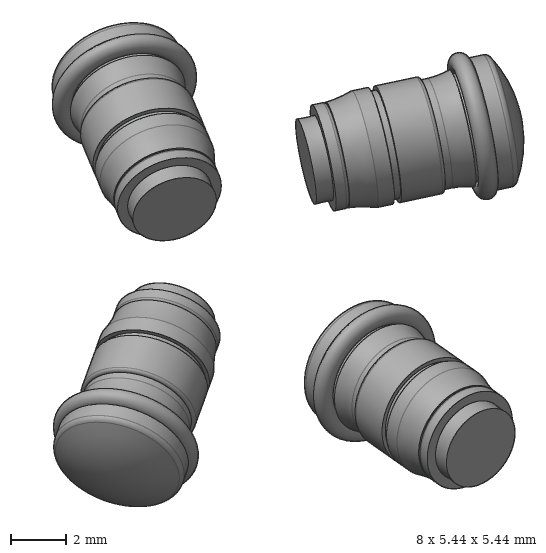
import cadquery as cq

dome_depth = 0.66
head_round_end = 0.87
head_end = 1.42
neck_start = 2.19
neck_waist = 3.04
barrel_start = 3.3
groove_start = 4.97
groove_end = 5.23
taper_start = 5.84
cap_start = 6.85
flange_end = 7.36
overall_length = 8.0

dome_rim_radius = 2.34
head_radius = 2.46
ring_outer_radius = 2.72
seat_radius = 2.01
neck_flare_radius = 2.18
neck_radius = 2.04
barrel_radius = 2.17
groove_radius = 2.02
taper_end_radius = 1.96
flange_radius = 1.97
spigot_radius = 1.58

barrel_round = barrel_radius - neck_radius
flange_round = 0.12
flare_sag = 0.03
taper_sag = 0.03
spigot_sag = 0.02

ring_section_radius = (ring_outer_radius - seat_radius) / 2
ring_center_x = head_end + ring_section_radius
ring_center_radius = seat_radius + ring_section_radius

QUARTER_ROUND = 0.5 ** 0.5


def revolve_profile(profile):
    """Revolve a closed half profile, drawn as (x, radius), about the X axis."""
    return profile.close().revolve(360, (0, 0, 0), (1, 0, 0))


def arc_between(profile, start, end, sag):
    """Add an arc whose middle lies closer to the axis than its chord by sag."""
    middle = ((start[0] + end[0]) / 2, (start[1] + end[1]) / 2 - sag)
    return profile.threePointArc(middle, end)


def round_corner(profile, start_x, outer_radius, size):
    """Add a quarter round from a face at start_x up to outer_radius."""
    middle = (
        start_x + size * (1 - QUARTER_ROUND),
        outer_radius - size * (1 - QUARTER_ROUND),
    )
    return profile.threePointArc(middle, (start_x + size, outer_radius))


def make_plug():
    """Domed head, ring seat, flared neck, grooved barrel and rear taper."""
    sphere_radius = (dome_rim_radius ** 2 + dome_depth ** 2) / (2 * dome_depth)
    dome_mid_radius = dome_rim_radius / 2
    dome_mid_x = sphere_radius - (sphere_radius ** 2 - dome_mid_radius ** 2) ** 0.5

    profile = cq.Workplane("XY").moveTo(0, 0)
    profile = profile.threePointArc((dome_mid_x, dome_mid_radius), (dome_depth, dome_rim_radius))
    profile = profile.tangentArcPoint((head_round_end, head_radius), relative=False)
    profile = profile.lineTo(head_end, head_radius)
    profile = profile.lineTo(head_end, seat_radius)
    profile = profile.lineTo(neck_start, seat_radius)
    profile = profile.lineTo(neck_start, neck_flare_radius)
    profile = arc_between(
        profile, (neck_start, neck_flare_radius), (neck_waist, neck_radius), flare_sag
    )
    profile = profile.lineTo(barrel_start, neck_radius)
    profile = round_corner(profile, barrel_start, barrel_radius, barrel_round)
    profile = profile.lineTo(groove_start, barrel_radius)
    profile = profile.lineTo(groove_start, groove_radius)
    profile = profile.lineTo(groove_end, groove_radius)
    profile = profile.lineTo(groove_end, barrel_radius)
    profile = profile.lineTo(taper_start, barrel_radius)
    profile = arc_between(
        profile, (taper_start, barrel_radius), (cap_start, taper_end_radius), taper_sag
    )
    profile = profile.lineTo(cap_start, 0)
    return revolve_profile(profile)


def make_sealing_ring():
    """Round-section ring seated behind the head."""
    section = cq.Workplane("XY").center(ring_center_x, ring_center_radius).circle(ring_section_radius)
    return section.revolve(360, (0, -ring_center_radius, 0), (1, -ring_center_radius, 0))


def make_end_cap():
    """Rounded flange with a slightly waisted spigot behind it."""
    profile = cq.Workplane("XY").moveTo(cap_start, 0)
    profile = profile.lineTo(cap_start, flange_radius - flange_round)
    profile = round_corner(profile, cap_start, flange_radius, flange_round)
    profile = profile.lineTo(flange_end, flange_radius)
    profile = profile.lineTo(flange_end, spigot_radius)
    profile = arc_between(
        profile, (flange_end, spigot_radius), (overall_length, spigot_radius), spigot_sag
    )
    profile = profile.lineTo(overall_length, 0)
    return revolve_profile(profile)


plug = make_plug()
sealing_ring = make_sealing_ring()
end_cap = make_end_cap()

result = cq.Compound.makeCompound([plug.val(), sealing_ring.val(), end_cap.val()])